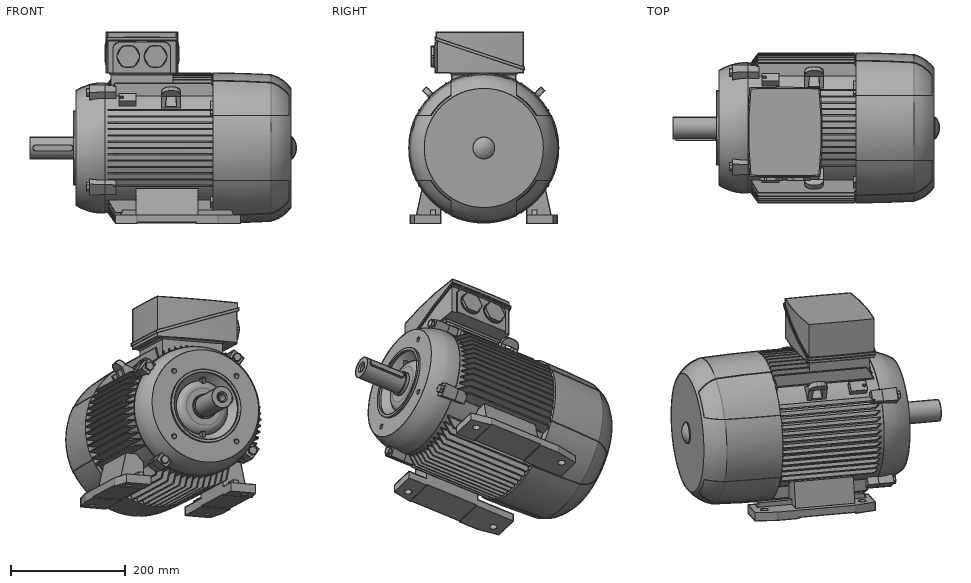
import cadquery as cq
import math


shaft_radius = 19.0
shaft_length = 80.0
shoulder_radius = 21.4
shaft_height = 132.0
seam_x = 51.0
cowl_x = 239.7
total_rear_x = 385.0
frame_radius = 113.0
fin_radius = 131.0
quarter_turns = (0, 90, 180, 270)


def disc(radius, x_start, x_end):
    """Cylinder about the shaft axis."""
    return cq.Workplane("YZ").workplane(offset=x_start).circle(radius).extrude(x_end - x_start)


def block(x_range, y_range, z_range):
    """Box between pairs of coordinates."""
    size = [high - low for low, high in (x_range, y_range, z_range)]
    corner = [low for low, high in (x_range, y_range, z_range)]
    return cq.Workplane("XY").box(*size, centered=False).translate(tuple(corner))


def turned(body, angle):
    """Copy of a body turned about the shaft axis; an angle of 0 points along -Y, 90 along +Z."""
    return body.rotate((0, 0, 0), (1, 0, 0), -angle)


def revolved(profile):
    """Solid of revolution about the shaft axis from an (x, radius) profile."""
    return profile.close().revolve(360, (0, 0, 0), (1, 0, 0))


lug_angle = 55.0
lug_front_x = 24.0
lug_rear_x = 70.3
lug_inner_radius = 106.0
lug_outer_radius = 126.5
lug_front_width = 23.0
lug_width = 20.0
lug_seam_width = (lug_front_width + lug_width) / 2


def lug(x_start, x_end, start_width, end_width):
    """Lug pointing along -Y, its width along Z changing evenly over its length."""
    height = lug_outer_radius - lug_inner_radius
    middle = (lug_outer_radius + lug_inner_radius) / 2
    return (
        cq.Workplane("YZ", origin=(x_start, -middle, 0))
        .rect(height, start_width)
        .workplane(offset=x_end - x_start)
        .rect(height, end_width)
        .loft(combine=True)
    )


center_hole_radius = 7.0
center_hole_depth = 28.0
center_hole_chamfer = 2.5
key_length = 70.0
key_width = 10.0
key_height = 8.0
key_end_gap = 5.0
key_top = 22.0


def make_key():
    """Round-ended key on the -Y side of the shaft."""
    middle_x = -shaft_length + key_end_gap + key_length / 2
    return (
        cq.Workplane("XZ", origin=(middle_x, -key_top + key_height, 0))
        .slot2D(key_length, key_width)
        .extrude(key_height)
    )


def make_shaft(key_body):
    body = disc(shaft_radius, -shaft_length, 0).union(disc(shoulder_radius, 0, seam_x))
    hole = (
        cq.Workplane("YZ", origin=(-shaft_length, 0, 0))
        .circle(center_hole_radius)
        .extrude(center_hole_depth)
    )
    hole_edge = cq.selectors.RadiusNthSelector(0)
    body = body.cut(hole).faces("<X").edges(hole_edge).chamfer(center_hole_chamfer)
    return body.cut(key_body)


face_radius = 100.0
spigot_radius = 65.0
spigot_height = 4.0
cavity_radius = 60.0
cavity_floor_radius = 48.0
cavity_floor_x = 16.0
hub_radius = 33.0
hub_x = 6.0
hub_bulge = (8.5, 42.5)
shield_rim_radius = 114.0
shield_bend_radius = 110.8
flange_hole_circle = 165.0
flange_hole_radius = 4.3
flange_hole_depth = 18.0
drain_radius = 5.5
drain_depth = 10.0
bolt_head_height = 5.5
bolt_head_corners = 15.0
bolt_circle_radius = 118.0


def make_shield():
    body = revolved(
        cq.Workplane("XY")
        .moveTo(seam_x, 0)
        .lineTo(seam_x, shield_rim_radius)
        .threePointArc((lug_front_x, shield_bend_radius), (0, face_radius))
        .lineTo(0, spigot_radius)
        .lineTo(-spigot_height, spigot_radius)
        .lineTo(-spigot_height, cavity_radius)
        .lineTo(0, cavity_radius)
        .lineTo(cavity_floor_x, cavity_floor_radius)
        .threePointArc(hub_bulge, (hub_x, hub_radius))
        .lineTo(hub_x, 0)
    )
    for turn in quarter_turns:
        bolt = (
            cq.Workplane("YZ", origin=(lug_front_x, -bolt_circle_radius, 0))
            .polygon(6, bolt_head_corners)
            .extrude(-bolt_head_height)
        )
        clamp = lug(lug_front_x, seam_x, lug_front_width, lug_seam_width).union(bolt)
        body = body.union(turned(clamp, lug_angle + turn))
    hole_offset = flange_hole_circle / math.sqrt(2)
    flange_holes = (
        cq.Workplane("YZ").rect(hole_offset, hole_offset, forConstruction=True).vertices()
        .circle(flange_hole_radius).extrude(flange_hole_depth)
    )
    drains = (
        cq.Workplane("YZ").pushPoints([(0, cavity_floor_radius), (0, -cavity_floor_radius)])
        .circle(drain_radius).extrude(cavity_floor_x + drain_depth)
    )
    return body.cut(flange_holes).cut(drains).cut(disc(shoulder_radius, 0, seam_x))


fin_pitch = 11.0
fins_each_side = 6
fin_thickness = 2.0
fin_root_x = 56.0
fin_tip_x = 69.0
fin_rear_bevel = 3.5
fin_bevel_depth = 5.0

neck_x = (60.9, 169.7)
neck_half_width = 56.1
neck_flare = 3.0
neck_rim = 0.3
box_bottom_z = 131.0

nameplate_x = (75.6, 105.3)
nameplate_width = 18.8
nameplate_radius = 125.2
nameplate_hole_x = 80.0
nameplate_hole_radius = 2.8

eye_x = (149.4, 183.0)
eye_radius = 146.0
eye_half_thickness = 4.7
eye_flare_radius = 132.0
eye_foot_half_width = 14.5
eye_foot_radius = 110.0
eye_corner = 13.3
eye_window_bottom = 115.0
eye_window_top_width = 16.0
eye_window_bottom_width = 19.0

tab_angle = 35.0
tab_length = 4.5
tab_width = 26.0
tab_radius = 124.0


def make_fins():
    """Parallel fins on all four sides, trimmed to the bevelled round outline of the frame."""
    outline = revolved(
        cq.Workplane("XY")
        .moveTo(seam_x, 0)
        .lineTo(seam_x, frame_radius)
        .lineTo(fin_root_x, frame_radius)
        .lineTo(fin_tip_x, fin_radius)
        .lineTo(cowl_x - fin_rear_bevel, fin_radius)
        .lineTo(cowl_x, fin_radius - fin_bevel_depth)
        .lineTo(cowl_x, 0)
    )
    core = disc(frame_radius, seam_x, cowl_x)
    fins = cq.Workplane("XY")
    for number in range(-fins_each_side, fins_each_side + 1):
        low = number * fin_pitch - fin_thickness / 2
        span = (low, low + fin_thickness)
        full = (-fin_radius, fin_radius)
        fins = fins.add(block((seam_x, cowl_x), full, span))
        fins = fins.add(block((seam_x, cowl_x), span, full))
    return core.union(fins.combine().intersect(outline))


def make_neck():
    """Raised seat for the terminal box, flaring outwards just below it."""
    lower = block(neck_x, (-neck_half_width, neck_half_width), (0, box_bottom_z))
    flared_x = (neck_x[0] - neck_flare, neck_x[1] + neck_flare)
    flared_half_width = neck_half_width + neck_flare
    rim_z = (box_bottom_z - neck_flare - neck_rim, box_bottom_z)
    upper = block(flared_x, (-flared_half_width, flared_half_width), rim_z)
    upper = upper.faces("<Z").edges().chamfer(neck_flare)
    return lower.union(upper)


def make_nameplate_pad():
    half = nameplate_width / 2
    pad = block(nameplate_x, (-nameplate_radius, 0), (-half, half))
    hole = (
        cq.Workplane("XZ", origin=(nameplate_hole_x, -frame_radius, 0))
        .circle(nameplate_hole_radius)
        .extrude(nameplate_radius - frame_radius)
    )
    return pad, hole


def make_lifting_eye():
    """Lifting eye pointing along -Y, with legs spreading towards the frame."""
    length = eye_x[1] - eye_x[0]
    body = (
        cq.Workplane("YZ", origin=(eye_x[0], 0, 0))
        .polyline(
            [
                (-eye_radius, -eye_half_thickness),
                (-eye_radius, eye_half_thickness),
                (-eye_flare_radius, eye_half_thickness),
                (-eye_foot_radius, eye_foot_half_width),
                (-eye_foot_radius, -eye_foot_half_width),
                (-eye_flare_radius, -eye_half_thickness),
            ]
        )
        .close()
        .extrude(length)
    )
    body = body.faces("<Y").edges("|Z").fillet(eye_corner)
    window = (
        cq.Workplane("XY", origin=((eye_x[0] + eye_x[1]) / 2, 0, -eye_foot_half_width))
        .polyline(
            [
                (-eye_window_bottom_width / 2, -eye_window_bottom),
                (eye_window_bottom_width / 2, -eye_window_bottom),
                (eye_window_top_width / 2, -eye_flare_radius),
                (-eye_window_top_width / 2, -eye_flare_radius),
            ]
        )
        .close()
        .extrude(2 * eye_foot_half_width)
    )
    return body.cut(window)


foot_x = (69.0, 287.3)
foot_inner_y = 74.7
foot_outer_y = 128.5
foot_end_y = 121.0
foot_bend_x = (106.7, 248.0)
foot_thickness = 15.3
foot_top_z = -shaft_height + foot_thickness
foot_relief_x = (106.7, 210.0)
foot_relief_depth = 2.0
foot_hole_x = (89.0, 267.0)
foot_hole_y = 108.0
foot_hole_radius = 6.5
leg_x = (105.3, 212.7)
leg_bottom_y = 117.5
leg_top_y = 107.7
leg_top_z = -71.0
rib_x = (78.0, 275.5)
rib_y = (84.2, 93.2)
rib_height = 8.2
rib_end_slope = 3.5


def make_foot():
    """Foot on the +Y side: base plate, leg and stiffening rib."""
    plate = (
        cq.Workplane("XY", origin=(0, 0, -shaft_height))
        .polyline(
            [
                (foot_x[0], foot_inner_y),
                (foot_x[1], foot_inner_y),
                (foot_x[1], foot_end_y),
                (foot_bend_x[1], foot_outer_y),
                (foot_bend_x[0], foot_outer_y),
                (foot_x[0], foot_end_y),
            ]
        )
        .close()
        .extrude(foot_thickness)
    )
    relief = block(
        foot_relief_x,
        (foot_inner_y, foot_outer_y),
        (-shaft_height, -shaft_height + foot_relief_depth),
    )
    holes = (
        cq.Workplane("XY", origin=(0, 0, -shaft_height))
        .pushPoints([(x, foot_hole_y) for x in foot_hole_x])
        .circle(foot_hole_radius)
        .extrude(foot_thickness)
    )
    leg = (
        cq.Workplane("YZ", origin=(leg_x[0], 0, 0))
        .polyline(
            [
                (foot_inner_y, foot_top_z),
                (leg_bottom_y, foot_top_z),
                (leg_top_y, leg_top_z),
                (foot_inner_y, leg_top_z),
            ]
        )
        .close()
        .extrude(leg_x[1] - leg_x[0])
    )
    rib = (
        cq.Workplane("XZ", origin=(0, rib_y[1], foot_top_z))
        .polyline(
            [
                (rib_x[0], 0),
                (rib_x[1], 0),
                (rib_x[1] - rib_end_slope, rib_height),
                (rib_x[0] + rib_end_slope, rib_height),
            ]
        )
        .close()
        .extrude(rib_y[1] - rib_y[0])
    )
    return plate.cut(relief).cut(holes).union(leg).union(rib)


def make_frame():
    body = make_fins().union(make_neck())
    rear_tab = block((cowl_x - tab_length, cowl_x), (-tab_radius, 0), (-tab_width / 2, tab_width / 2))
    for turn in quarter_turns:
        body = body.union(turned(lug(seam_x, lug_rear_x, lug_seam_width, lug_width), lug_angle + turn))
        body = body.union(turned(rear_tab, tab_angle + turn))
    pad, pad_hole = make_nameplate_pad()
    eye = make_lifting_eye()
    for angle in (45, 135):
        body = body.union(turned(pad, angle)).cut(turned(pad_hole, angle)).union(turned(eye, angle))
    foot = make_foot()
    return body.union(foot).union(foot.mirror("XZ"))


cowl_bend_x = 340.5
cowl_bend_radius = 128.0
cowl_rear_x = 375.5
cowl_rear_radius = 104.0
cowl_side = (290.0, 130.2)
cowl_shoulder = (360.0, 119.0)
corner_panel_start = 57.0
corner_panel_end_x = 371.6
corner_panel_depth = 1.0
dome_radius = 19.0
dome_rim = 2.0


def cowl_shell(inset):
    """Turned outline of the cowl, made smaller in radius by the inset."""
    return revolved(
        cq.Workplane("XY")
        .moveTo(cowl_x, 0)
        .lineTo(cowl_x, fin_radius - inset)
        .threePointArc(
            (cowl_side[0], cowl_side[1] - inset), (cowl_bend_x, cowl_bend_radius - inset)
        )
        .threePointArc(
            (cowl_shoulder[0], cowl_shoulder[1] - inset), (cowl_rear_x, cowl_rear_radius - inset)
        )
        .lineTo(cowl_rear_x, 0)
    )


def make_cowl():
    inner = cowl_shell(corner_panel_depth)
    body = cowl_shell(0)
    corner = block(
        (cowl_x, corner_panel_end_x),
        (-fin_radius, -corner_panel_start),
        (corner_panel_start, fin_radius),
    ).cut(inner)
    for turn in quarter_turns:
        body = body.cut(turned(corner, turn))
    dome_height = total_rear_x - cowl_rear_x - dome_rim
    sphere_radius = (dome_radius**2 + dome_height**2) / (2 * dome_height)
    half_angle = math.asin(dome_radius / sphere_radius) / 2
    middle_x = total_rear_x - sphere_radius * (1 - math.cos(half_angle))
    middle_radius = sphere_radius * math.sin(half_angle)
    dome = revolved(
        cq.Workplane("XY")
        .moveTo(cowl_rear_x, 0)
        .lineTo(cowl_rear_x, dome_radius)
        .lineTo(cowl_rear_x + dome_rim, dome_radius)
        .threePointArc((middle_x, middle_radius), (total_rear_x, 0))
    )
    return body.union(dome)


box_middle_x = 115.3
box_corner_half = 59.3
box_bulge_half = 63.2
box_face_bulge = 1.0
box_back_y = 69.1
box_front_y = -81.9
lid_front_y = -83.4
box_top_z = 202.0
rim_overhang = 2.0
rim_thickness = 5.0
rim_slope = 0.335
rim_bottom_at_axis = 159.7
rim_front_y = lid_front_y - rim_overhang

panel_x = (64.7, 165.5)
panel_y = -84.7
panel_top_z = 184.7
panel_corner = 12.0
plug_spacing = 47.6
plug_z = 159.6
plug_washer_radius = 19.6
plug_washer_y = -86.5
plug_hex_flats = 36.4
plug_hex_radius = 20.0
plug_front_y = -92.0


def box_prism(front_y, back_y, grow):
    """Upright prism of the terminal box whose four walls bulge slightly outwards."""
    corner = box_corner_half + grow
    bulge = box_bulge_half + grow
    middle_y = (front_y + back_y) / 2
    front_corner_y = front_y + box_face_bulge
    back_corner_y = back_y - box_face_bulge
    return (
        cq.Workplane("XY", origin=(box_middle_x, 0, box_bottom_z))
        .moveTo(-corner, front_corner_y)
        .threePointArc((0, front_y), (corner, front_corner_y))
        .threePointArc((bulge, middle_y), (corner, back_corner_y))
        .threePointArc((0, back_y), (-corner, back_corner_y))
        .threePointArc((-bulge, middle_y), (-corner, front_corner_y))
        .close()
        .extrude(box_top_z - box_bottom_z)
    )


def above_slope(height):
    """Half space above the sloping parting plane raised by the given height."""
    reach = 2 * shaft_height
    base = rim_bottom_at_axis + height
    return (
        cq.Workplane("YZ")
        .polyline(
            [
                (-reach, base + rim_slope * reach),
                (reach, base - rim_slope * reach),
                (reach, 2 * reach),
                (-reach, 2 * reach),
            ]
        )
        .close()
        .extrude(reach)
    )


def make_lid():
    """Lid with a sloping overhanging rim along its lower edge."""
    rim = box_prism(rim_front_y, box_back_y + rim_overhang, rim_overhang)
    rim = rim.intersect(above_slope(0)).cut(above_slope(rim_thickness))
    return box_prism(lid_front_y, box_back_y, 0).intersect(above_slope(0)).union(rim)


def make_box_base():
    body = box_prism(box_front_y, box_back_y, 0).cut(above_slope(0))
    panel = block(panel_x, (panel_y, box_front_y + box_face_bulge), (box_bottom_z, panel_top_z))
    body = body.union(panel.faces(">Z").edges("|Y").fillet(panel_corner))
    for side in (-1, 1):
        plug_x = box_middle_x + side * plug_spacing / 2
        washer = (
            cq.Workplane("XZ", origin=(plug_x, panel_y, plug_z))
            .circle(plug_washer_radius)
            .extrude(panel_y - plug_washer_y)
        )
        head_plane = cq.Workplane("XZ", origin=(plug_x, plug_washer_y, plug_z))
        head_height = plug_washer_y - plug_front_y
        head = head_plane.polygon(6, plug_hex_flats / math.cos(math.pi / 6)).extrude(head_height)
        head = head.intersect(head_plane.circle(plug_hex_radius).extrude(head_height))
        body = body.union(washer).union(head)
    return body


key = make_key()
shaft = make_shaft(key)
end_shield = make_shield()
frame = make_frame()
cowl = make_cowl()
lid = make_lid()
box_base = make_box_base()

bodies = [shaft, key, end_shield, frame, cowl, box_base, lid]
result = cq.Compound.makeCompound([body.solids().val() for body in bodies])